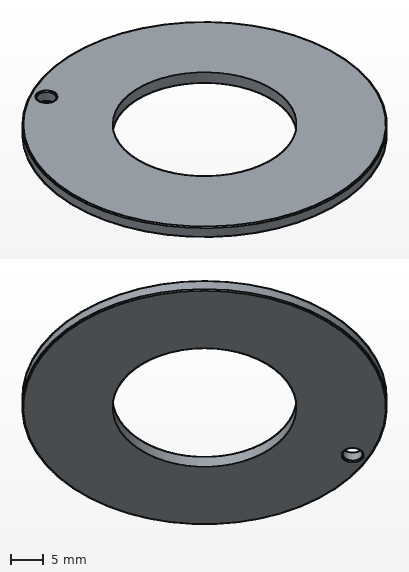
import cadquery as cq

outer_diameter = 56.0
bore_diameter = 28.2
thickness = 2.0
edge_chamfer = 0.2
pin_hole_diameter = 3.0
pin_hole_center_x = -25.4


def make_disc():
    """Flat disc with both outer rim edges chamfered."""
    disc = cq.Workplane("XY").circle(outer_diameter / 2).extrude(thickness)
    return disc.faces("<Z or >Z").edges().chamfer(edge_chamfer)


def make_bore():
    """Plain through bore at the disc center."""
    return cq.Workplane("XY").circle(bore_diameter / 2).extrude(thickness)


def make_pin_hole():
    """Through hole near the rim, chamfered at both mouths."""
    hole_radius = pin_hole_diameter / 2
    mouth_radius = hole_radius + edge_chamfer
    profile = [
        (0, 0),
        (mouth_radius, 0),
        (hole_radius, edge_chamfer),
        (hole_radius, thickness - edge_chamfer),
        (mouth_radius, thickness),
        (0, thickness),
    ]
    hole = cq.Workplane("XZ").polyline(profile).close().revolve(360, (0, 0), (0, 1))
    return hole.translate((pin_hole_center_x, 0, 0))


result = make_disc().cut(make_bore()).cut(make_pin_hole())